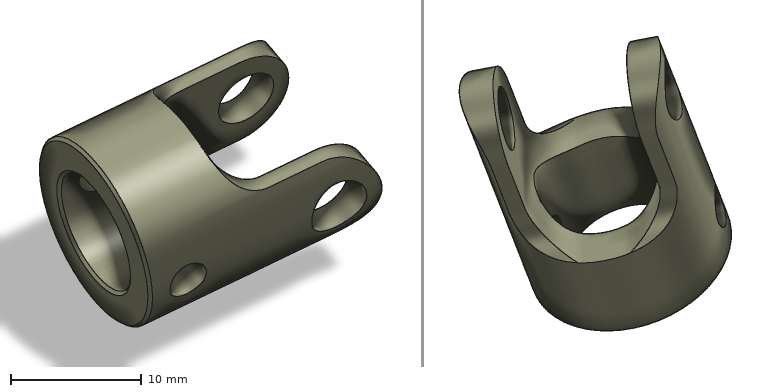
import cadquery as cq

outer_diameter = 16.0
bore_diameter = 10.0
length = 21.13
collar_length = 8.11
edge_chamfer = 0.25

slot_width = 10.6
arm_width = 9.0
root_radius = 3.63

pivot_hole_diameter = 5.0
pivot_hole_from_tip = 3.89
pin_hole_diameter = 3.3
pin_hole_from_front = 3.5

outer_radius = outer_diameter / 2
arm_half_width = arm_width / 2
straight_start = collar_length + root_radius
tip_center = length - arm_half_width
clearance = 2 * outer_diameter


def make_tube():
    body = cq.Workplane("XZ").circle(outer_radius).extrude(-length)
    body = body.faces("<Y").chamfer(edge_chamfer)
    bore = cq.Workplane("XZ").circle(bore_diameter / 2).extrude(-length)
    mouth = cq.Solid.makeCone(
        bore_diameter / 2 + edge_chamfer,
        bore_diameter / 2,
        edge_chamfer,
        pnt=cq.Vector(0, 0, 0),
        dir=cq.Vector(0, 1, 0),
    )
    return body.cut(bore).cut(cq.Workplane(obj=mouth))


def make_side_profile():
    """Collar and arm outline in YZ, with concave roots and a round tip."""
    root_height = arm_half_width + root_radius
    diagonal = root_radius * 0.5**0.5
    root_middle_y = straight_start - diagonal
    root_middle_z = root_height - diagonal
    return (
        cq.Workplane("YZ")
        .moveTo(0, -root_height)
        .lineTo(collar_length, -root_height)
        .threePointArc((root_middle_y, -root_middle_z), (straight_start, -arm_half_width))
        .lineTo(tip_center, -arm_half_width)
        .threePointArc((length, 0), (tip_center, arm_half_width))
        .lineTo(straight_start, arm_half_width)
        .threePointArc((root_middle_y, root_middle_z), (collar_length, root_height))
        .lineTo(0, root_height)
        .close()
        .extrude(clearance / 2, both=True)
    )


def make_slot():
    """Space between the arms, with rounded floor corners."""
    slot_length = length - collar_length
    return (
        cq.Workplane("XY")
        .center(0, collar_length + slot_length / 2)
        .rect(slot_width, slot_length)
        .extrude(clearance / 2, both=True)
        .edges("|Z and <Y")
        .fillet(root_radius)
    )


def make_cross_hole(y, diameter):
    return (
        cq.Workplane("YZ")
        .center(y, 0)
        .circle(diameter / 2)
        .extrude(clearance / 2, both=True)
    )


result = (
    make_tube()
    .intersect(make_side_profile())
    .cut(make_slot())
    .cut(make_cross_hole(length - pivot_hole_from_tip, pivot_hole_diameter))
    .cut(make_cross_hole(pin_hole_from_front, pin_hole_diameter))
)